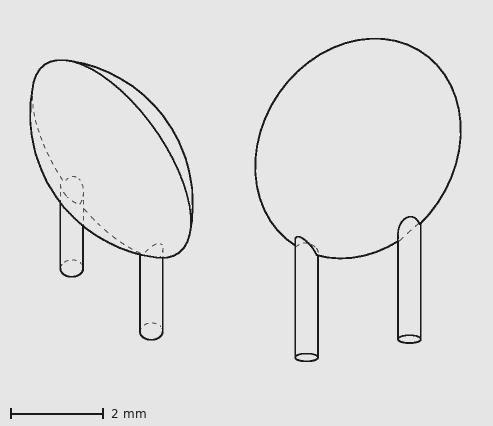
import cadquery as cq

total_height = 7.1
body_diameter = 5.0
body_thickness = 2.5
lead_diameter = 0.5
lead_pitch = 2.5

body_radius = body_diameter / 2
half_thickness = body_thickness / 2
lead_bottom = body_radius - total_height


def lens_body():
    """Two equal spherical caps meeting at the rim, centred on the Y axis."""
    cap_height = half_thickness
    sphere_radius = (body_radius**2 + cap_height**2) / (2 * cap_height)
    sphere_offset = sphere_radius - cap_height
    rear_sphere = cq.Workplane("XY").sphere(sphere_radius).translate((0, sphere_offset, 0))
    front_sphere = cq.Workplane("XY").sphere(sphere_radius).translate((0, -sphere_offset, 0))
    return rear_sphere.intersect(front_sphere)


def leads():
    """Two round wires running up from the bottom into the body."""
    return (
        cq.Workplane("XY", origin=(0, 0, lead_bottom))
        .pushPoints([(-lead_pitch / 2, 0), (lead_pitch / 2, 0)])
        .circle(lead_diameter / 2)
        .extrude(-lead_bottom)
    )


result = lens_body().union(leads())